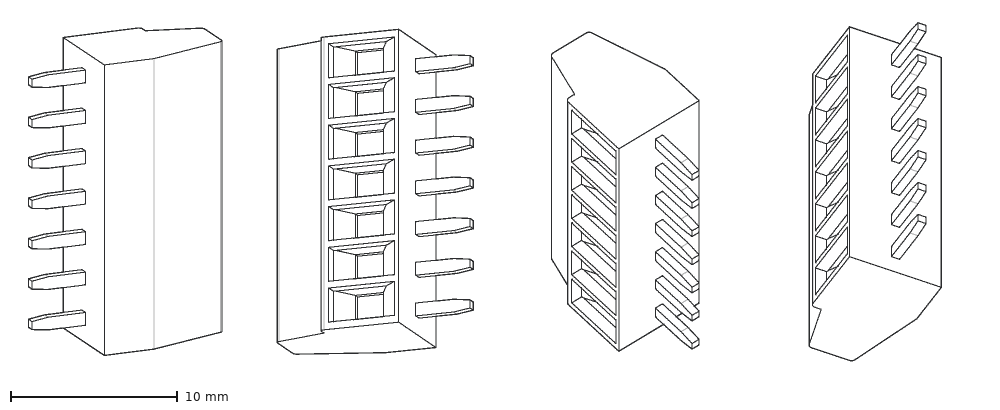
import cadquery as cq

WAYS = 7
PITCH = 2.54

LENGTH = 18.24
WIDTH = 6.2
DEPTH = 8.5
STEP_WIDTH = 0.7
STEP_DEPTH = 5.09
BACK_LEFT = 1.57
BACK_RIGHT = 4.55
RIGHT_WALL_DEPTH = 3.25
CORNER_RADIUS = 0.27

ENTRY_FRONT = 0.27
ENTRY_BACK = 4.5
ENTRY_HEIGHT = 2.12
BORE_FRONT = 1.42
BORE_BACK = 3.23
BORE_HEIGHT = 1.51
BACK_SLOPE_START = 0.77
FLOOR_SLOPE_START = 0.8
FUNNEL_END = 1.11
BORE_END = 1.5

PIN_LENGTH = 3.5
PIN_WIDTH = 0.55
PIN_HEIGHT = 0.8
TIP_HEIGHT = 0.51
TIP_LENGTH = 1.05


def make_housing():
    back_left = (BACK_LEFT, DEPTH)
    back_right = (BACK_RIGHT, DEPTH)
    step_corner = (0, STEP_DEPTH)
    housing = (
        cq.Workplane("XY")
        .moveTo(0, 0)
        .lineTo(WIDTH, 0)
        .lineTo(WIDTH, RIGHT_WALL_DEPTH)
        .lineTo(*back_right)
        .lineTo(*back_left)
        .lineTo(STEP_WIDTH, STEP_DEPTH)
        .lineTo(*step_corner)
        .close()
        .extrude(LENGTH / 2, both=True)
    )
    for x, y in (back_left, back_right, step_corner):
        housing = housing.edges(cq.NearestToPointSelector((x, y, 0))).fillet(CORNER_RADIUS)
    return housing


def make_entry():
    """Volume removed for one way: a mouth that narrows into a short blind bore."""
    side_walls = (
        cq.Workplane("XY")
        .moveTo(0, ENTRY_FRONT)
        .lineTo(FUNNEL_END, BORE_FRONT)
        .lineTo(BORE_END, BORE_FRONT)
        .lineTo(BORE_END, BORE_BACK)
        .lineTo(FUNNEL_END, BORE_BACK)
        .lineTo(BACK_SLOPE_START, ENTRY_BACK)
        .lineTo(0, ENTRY_BACK)
        .close()
        .extrude(ENTRY_HEIGHT / 2, both=True)
    )
    floor_and_ceiling = (
        cq.Workplane("XZ")
        .moveTo(0, -ENTRY_HEIGHT / 2)
        .lineTo(FLOOR_SLOPE_START, -ENTRY_HEIGHT / 2)
        .lineTo(FUNNEL_END, -BORE_HEIGHT / 2)
        .lineTo(BORE_END, -BORE_HEIGHT / 2)
        .lineTo(BORE_END, BORE_HEIGHT / 2)
        .lineTo(FUNNEL_END, BORE_HEIGHT / 2)
        .lineTo(FLOOR_SLOPE_START, ENTRY_HEIGHT / 2)
        .lineTo(0, ENTRY_HEIGHT / 2)
        .close()
        .extrude(-ENTRY_BACK)
    )
    return side_walls.intersect(floor_and_ceiling)


def make_pin():
    """Flat pin whose top and bottom taper towards the tip; it is centred across the width."""
    taper_start = TIP_LENGTH - PIN_LENGTH
    return (
        cq.Workplane("YZ", origin=(WIDTH / 2, 0, 0))
        .moveTo(0, -PIN_HEIGHT / 2)
        .lineTo(taper_start, -PIN_HEIGHT / 2)
        .lineTo(-PIN_LENGTH, -TIP_HEIGHT / 2)
        .lineTo(-PIN_LENGTH, TIP_HEIGHT / 2)
        .lineTo(taper_start, PIN_HEIGHT / 2)
        .lineTo(0, PIN_HEIGHT / 2)
        .close()
        .extrude(PIN_WIDTH / 2, both=True)
    )


result = make_housing()
entry = make_entry()
pin = make_pin()
for way in range(WAYS):
    way_height = (way - (WAYS - 1) / 2) * PITCH
    result = result.cut(entry.translate((0, 0, way_height)))
    result = result.union(pin.translate((0, 0, way_height)))